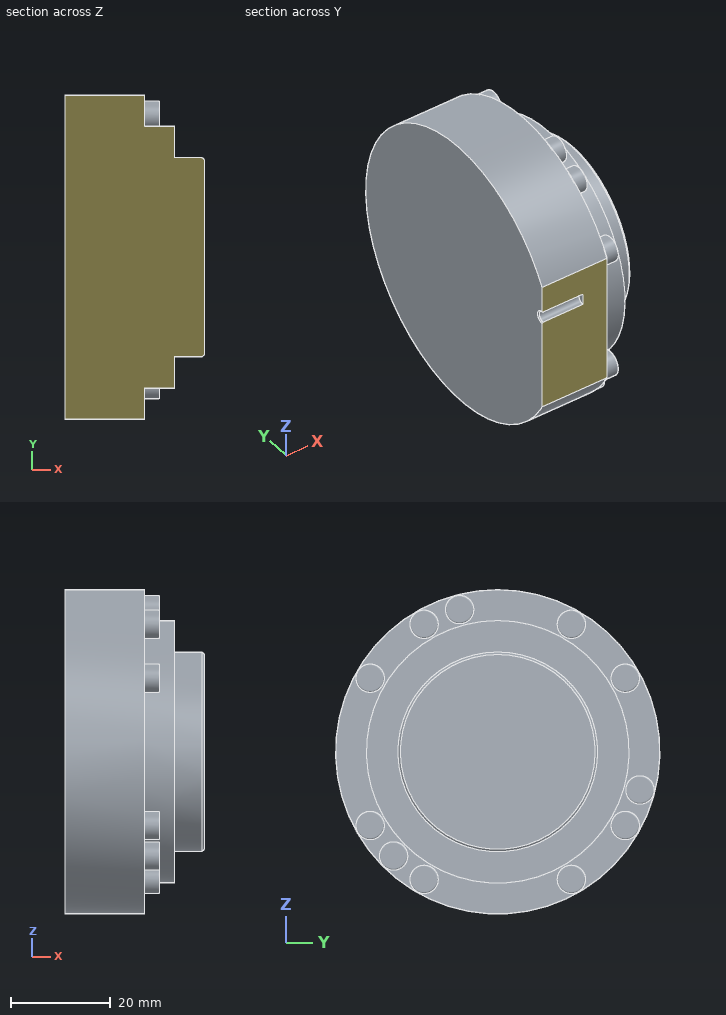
import cadquery as cq
import math

flange_diameter = 65.0
flange_thickness = 16.0
collar_diameter = 52.6
collar_height = 6.0
spigot_diameter = 40.0
spigot_height = 6.0
spigot_chamfer = 0.5

bolt_circle_diameter = 59.0
head_diameter = 5.68
head_height = 3.0
head_fillet = 0.3

full_turn = 360
quarter_turn = full_turn // 4
main_screw_offsets = (30, 60)
main_screw_angles = [
    start + offset for start in range(0, full_turn, quarter_turn) for offset in main_screw_offsets
]
extra_screw_angles = (15, 135, 255)

hole_angle = 75
hole_diameter = 2.5
hole_mouth_diameter = 3.0
hole_depth = 10.0
countersink_half_angle = 45


def plane_at(x):
    """Workplane facing +X at position x, with its own x axis along +Z."""
    return cq.Workplane(cq.Plane(origin=(x, 0, 0), xDir=(0, 0, 1), normal=(1, 0, 0)))


def on_bolt_circle(plane, angle):
    """Move the plane's origin onto the bolt circle at the given angle."""
    radius = bolt_circle_diameter / 2
    turn = math.radians(angle)
    return plane.center(radius * math.cos(turn), radius * math.sin(turn))


def make_stepped_disc():
    collar_start = flange_thickness
    spigot_start = collar_start + collar_height
    flange = plane_at(0).circle(flange_diameter / 2).extrude(flange_thickness)
    collar = plane_at(collar_start).circle(collar_diameter / 2).extrude(collar_height)
    spigot = plane_at(spigot_start).circle(spigot_diameter / 2).extrude(spigot_height)
    spigot = spigot.faces(">X").chamfer(spigot_chamfer)
    return flange.union(collar).union(spigot)


def make_screw_head(angle):
    head = on_bolt_circle(plane_at(flange_thickness), angle).circle(head_diameter / 2).extrude(head_height)
    return head.faces(">X").edges().fillet(head_fillet)


def make_hole():
    bore = on_bolt_circle(plane_at(0), hole_angle).circle(hole_diameter / 2).extrude(hole_depth)
    mouth_depth = (hole_mouth_diameter - hole_diameter) / 2
    mouth = on_bolt_circle(plane_at(0), hole_angle).circle(hole_mouth_diameter / 2)
    mouth = mouth.extrude(mouth_depth, taper=countersink_half_angle)
    return bore.union(mouth)


result = make_stepped_disc()
for screw_angle in (*main_screw_angles, *extra_screw_angles):
    result = result.union(make_screw_head(screw_angle))
result = result.cut(make_hole())